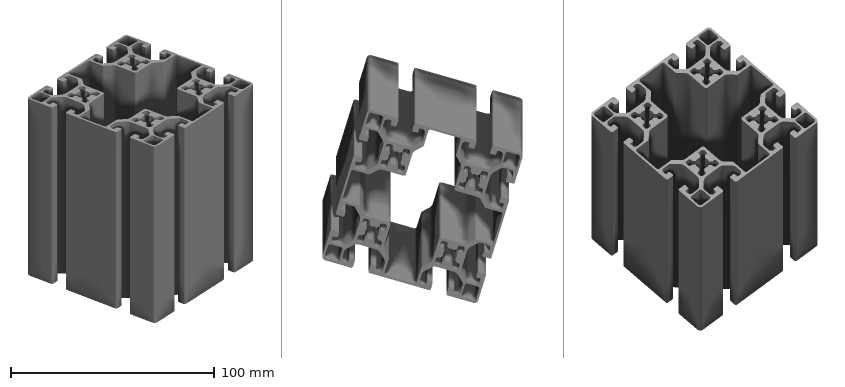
import cadquery as cq
import math

LENGTH = 100.0
WIDTH = 80.0
HALF = WIDTH / 2
MODULE = HALF
CORE_OFFSET = MODULE / 2
OUTER_RADIUS = 1.9

SLOT_OPENING = 8.0
SLOT_INNER_WIDTH = 21.0
LIP_WIDTH = 3.1
LIP_DEPTH = 4.5
LIP_THICKNESS = 2.0
SLOT_DEPTH = 12.5
SLOT_SLOPE_START = 7.9
LIP_RADIUS = 0.7
MOUTH_RADIUS = 0.8
UNDERCUT_RADIUS = 1.8
SLOPE_WALL_RADIUS = 2.0
SLOPE_FLOOR_RADIUS = 4.0

SKIN = 1.1
CORNER_HOLLOW = 7.5
CORNER_HOLLOW_RADIUS = 1.2

ARM_HALF_WIDTH = 8.3
ARM_SLOPE_START = 10.2
CORE_HALF_WIDTH = CORE_OFFSET - SLOT_DEPTH
CORE_SLOPE_RADIUS = 3.2
ARM_SLOPE_RADIUS = 1.4
ARM_END_RADIUS = 1.0
CORE_CORNER_RADIUS = 1.2

BORE_DIAMETER = 6.8
CORE_WALL = 1.4
POCKET_START = 2.6
POCKET_RADIUS = 1.1
CHANNEL_WIDTH = 2.3

SIDE_ANGLES = (0, 90, 180, 270)
SIGNS = (-1, 1)


def round_edges(solid, radius, points):
    """Fillet the lengthwise edges that pass through the given XY points."""
    tolerance = 0.01
    for x, y in points:
        box = cq.selectors.BoxSelector(
            (x - tolerance, y - tolerance, -1), (x + tolerance, y + tolerance, LENGTH + 1)
        )
        solid = solid.edges("|Z").edges(box).fillet(radius)
    return solid


def rotated_points(points, angle):
    """The XY points turned about the origin by a multiple of 90 degrees."""
    for _ in range(angle // 90):
        points = [(-y, x) for x, y in points]
    return points


def mirrored(points):
    """Each point together with its mirror image across the Y axis."""
    return [(sign * x, y) for x, y in points for sign in SIGNS]


def make_slot():
    """T-slot opening toward +Y, centred on X = 0, with the outer face at Y = 0."""
    opening = SLOT_OPENING / 2
    undercut = opening + LIP_WIDTH
    wall = SLOT_INNER_WIDTH / 2
    floor = wall - (SLOT_DEPTH - SLOT_SLOPE_START)
    mouth = (opening, 0)
    lip_tip = (opening, -LIP_DEPTH)
    lip_back = (undercut, -LIP_DEPTH)
    lip_root = (undercut, -LIP_THICKNESS)
    undercut_corner = (wall, -LIP_THICKNESS)
    slope_start = (wall, -SLOT_SLOPE_START)
    slope_end = (floor, -SLOT_DEPTH)
    half_outline = [mouth, lip_tip, lip_back, lip_root, undercut_corner, slope_start, slope_end]
    other_half = [(-x, y) for x, y in reversed(half_outline)]
    slot = cq.Workplane("XY").polyline(half_outline + other_half).close().extrude(LENGTH)
    for radius, points in (
        (LIP_RADIUS, [lip_tip, lip_back]),
        (UNDERCUT_RADIUS, [undercut_corner]),
        (SLOPE_WALL_RADIUS, [slope_start]),
        (SLOPE_FLOOR_RADIUS, [slope_end]),
    ):
        slot = round_edges(slot, radius, mirrored(points))
    return slot


def make_central_void():
    """Cross-shaped void whose four arms reach the outer skin."""
    core_inner = CORE_OFFSET - CORE_HALF_WIDTH
    slope_outer = HALF - ARM_SLOPE_START
    slope_inner = slope_outer - (core_inner - ARM_HALF_WIDTH)
    arm_end_corner = (ARM_HALF_WIDTH, HALF - SKIN)
    slope_start = (ARM_HALF_WIDTH, slope_outer)
    slope_end = (core_inner, slope_inner)
    core_corner = (core_inner, core_inner)

    arm = [core_corner, slope_end, slope_start, arm_end_corner]
    arm += [(-x, y) for x, y in reversed(arm[1:])]
    outline = [point for angle in SIDE_ANGLES for point in rotated_points(arm, angle)]
    void = cq.Workplane("XY").polyline(outline).close().extrude(LENGTH)
    for angle in SIDE_ANGLES:
        for radius, point in (
            (ARM_END_RADIUS, arm_end_corner),
            (ARM_SLOPE_RADIUS, slope_start),
            (CORE_SLOPE_RADIUS, slope_end),
        ):
            void = round_edges(void, radius, rotated_points(mirrored([point]), angle))
        void = round_edges(void, CORE_CORNER_RADIUS, rotated_points([core_corner], angle))
    return void


def make_core_cavity():
    """Screw bore joined by diagonal channels to four corner pockets, centred on the origin."""
    pocket_end = CORE_HALF_WIDTH - CORE_WALL
    pocket_size = pocket_end - POCKET_START
    pocket_centre = (POCKET_START + pocket_end) / 2
    cavity = cq.Workplane("XY").circle(BORE_DIAMETER / 2).extrude(LENGTH)
    for angle in (45, 135):
        channel_length = 2 * math.hypot(pocket_centre, pocket_centre)
        channel = cq.Workplane("XY").rect(channel_length, CHANNEL_WIDTH).extrude(LENGTH)
        cavity = cavity.union(channel.rotate((0, 0, 0), (0, 0, 1), angle))
    pocket_centres = [(i * pocket_centre, j * pocket_centre) for i in SIGNS for j in SIGNS]
    pockets = cq.Workplane("XY").pushPoints(pocket_centres).rect(pocket_size, pocket_size)
    pockets = pockets.extrude(LENGTH).edges("|Z").fillet(POCKET_RADIUS)
    return cavity.union(pockets)


def make_corner_hollow():
    """Rounded square hollow centred on the origin."""
    hollow = cq.Workplane("XY").rect(CORNER_HOLLOW, CORNER_HOLLOW).extrude(LENGTH)
    return hollow.edges("|Z").fillet(CORNER_HOLLOW_RADIUS)


body = cq.Workplane("XY").rect(WIDTH, WIDTH).extrude(LENGTH)
body = body.edges("|Z").fillet(OUTER_RADIUS)

slot = make_slot()
for angle in SIDE_ANGLES:
    for sign in SIGNS:
        placed_slot = slot.translate((sign * CORE_OFFSET, HALF, 0))
        body = body.cut(placed_slot.rotate((0, 0, 0), (0, 0, 1), angle))

mouth_edges = [(CORE_OFFSET + sign * SLOT_OPENING / 2, HALF) for sign in SIGNS]
for angle in SIDE_ANGLES:
    body = round_edges(body, MOUTH_RADIUS, rotated_points(mirrored(mouth_edges), angle))

body = body.cut(make_central_void())

core_cavity = make_core_cavity()
corner_hollow = make_corner_hollow()
hollow_offset = HALF - SKIN - CORNER_HOLLOW / 2
for i in SIGNS:
    for j in SIGNS:
        body = body.cut(core_cavity.translate((i * CORE_OFFSET, j * CORE_OFFSET, 0)))
        body = body.cut(corner_hollow.translate((i * hollow_offset, j * hollow_offset, 0)))

result = body